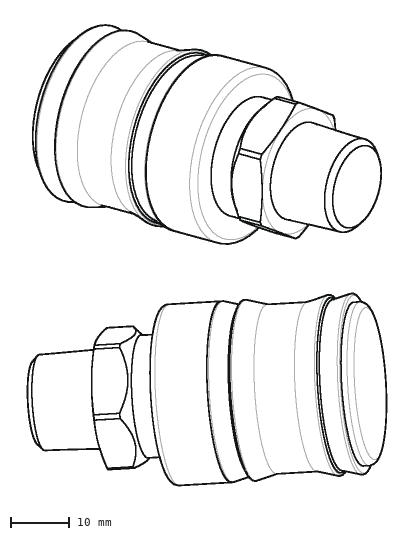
import cadquery as cq
import math

total_length = 58.23

collar_radius = 28 / 2
collar_length = 2.0
collar_fillet = 1.0

sleeve_radius = 31 / 2
waist_radius = 29 / 2
ridge_angle = math.radians(15)
ridge_tip_fillet = 0.3
ridge_pitch = 4.0
groove_rise = 0.35
waist_middle = 13.6

band_start = 25.1
band_end = 35.2
band_fillet = 1.0

neck_radius = 21 / 2
neck_end = 39.35
hex_across_flats = 22.0
hex_corner_radius = 24.88 / 2
hex_end = 46.2
hex_rear_angle = math.radians(15)

spigot_base_radius = 8.55
spigot_taper = 1 / 32
spigot_chamfer = 1.0

first_ridge = collar_length
second_ridge = first_ridge + ridge_pitch
flank_slope = math.tan(ridge_angle)
tip_centre_radius = sleeve_radius - ridge_tip_fillet
flank_start_offset = ridge_tip_fillet * (1 + math.sin(ridge_angle))
flank_start_radius = tip_centre_radius + ridge_tip_fillet * math.cos(ridge_angle)

groove_bottom = second_ridge - groove_rise
groove_radius = flank_start_radius - flank_slope * (groove_bottom - first_ridge - flank_start_offset)

waist_start = second_ridge + flank_start_offset + (flank_start_radius - waist_radius) / flank_slope


def revolve_profile(points):
    """Revolve a closed (x, radius) outline about the X axis."""
    return cq.Workplane("XY").polyline(points).close().revolve(360, (0, 0, 0), (1, 0, 0))


def make_collar():
    collar = cq.Workplane("YZ").circle(collar_radius).extrude(collar_length)
    return collar.faces("<X").edges().fillet(collar_fillet)


def add_ridge(outline, face):
    """Draw up the radial face at X = face and round the tip to the top of the flank."""
    mid_angle = (math.pi + (math.pi / 2 - ridge_angle)) / 2
    tip_middle = (
        face + ridge_tip_fillet * (1 + math.cos(mid_angle)),
        tip_centre_radius + ridge_tip_fillet * math.sin(mid_angle),
    )
    flank_start = (face + flank_start_offset, flank_start_radius)
    return outline.lineTo(face, tip_centre_radius).threePointArc(tip_middle, flank_start)


def make_ridged_sleeve():
    outline = cq.Workplane("XY").moveTo(first_ridge, 0)
    outline = add_ridge(outline, first_ridge)
    outline = outline.lineTo(groove_bottom, groove_radius)
    outline = outline.lineTo(second_ridge, groove_radius + groove_rise)
    outline = add_ridge(outline, second_ridge)
    outline = outline.lineTo(waist_start, waist_radius)
    outline = outline.lineTo(waist_middle, waist_radius).lineTo(waist_middle, 0).close()
    front_half = outline.revolve(360, (0, 0, 0), (1, 0, 0))
    rear_half = front_half.mirror("YZ", (waist_middle, 0, 0))
    return front_half.union(rear_half).clean()


def make_band():
    band = cq.Workplane("YZ").workplane(offset=band_start).circle(sleeve_radius).extrude(band_end - band_start)
    return band.faces(">X").edges().fillet(band_fillet)


def make_neck():
    return cq.Workplane("YZ").workplane(offset=band_end).circle(neck_radius).extrude(neck_end - band_end)


def make_hexagon():
    hex_across_corners = hex_across_flats / math.cos(math.pi / 6)
    prism = (
        cq.Workplane("YZ")
        .workplane(offset=neck_end)
        .transformed(rotate=(0, 0, 90))
        .polygon(6, hex_across_corners)
        .extrude(hex_end - neck_end)
    )
    front_chamfer = hex_corner_radius - neck_radius
    rear_radius = hex_across_flats / 2
    rear_chamfer = (hex_corner_radius - rear_radius) * math.tan(hex_rear_angle)
    envelope = revolve_profile([
        (neck_end, 0),
        (neck_end, neck_radius),
        (neck_end + front_chamfer, hex_corner_radius),
        (hex_end - rear_chamfer, hex_corner_radius),
        (hex_end, rear_radius),
        (hex_end, 0),
    ])
    return prism.intersect(envelope)


def make_spigot():
    chamfer_start = total_length - spigot_chamfer
    chamfer_radius = spigot_base_radius - spigot_taper * (chamfer_start - hex_end)
    return revolve_profile([
        (hex_end, 0),
        (hex_end, spigot_base_radius),
        (chamfer_start, chamfer_radius),
        (total_length, chamfer_radius - spigot_chamfer),
        (total_length, 0),
    ])


body = make_collar()
for section in (make_ridged_sleeve(), make_band(), make_neck(), make_hexagon(), make_spigot()):
    body = body.union(section)

result = body